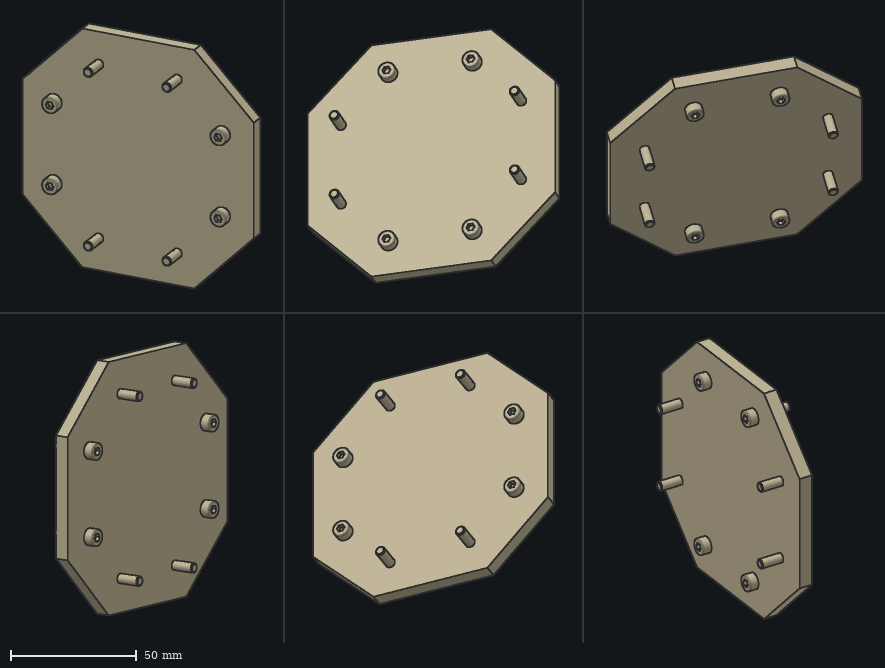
import cadquery as cq

plate_size = 103.0
plate_thickness = 6.0
straight_edge = 50.0
corner_cut = (plate_size - straight_edge) / 2

shank_diameter = 4.0
shank_protrusion = 10.0
shank_tip_chamfer = 0.4
head_diameter = 7.0
head_height = 4.0
head_edge_fillet = 0.4
socket_across_corners = 3.4
socket_depth = 2.0

pair_half_spacing = 17.5
pair_offset = 37.5


def make_plate():
    block = cq.Workplane("XY").box(plate_size, plate_thickness, plate_size)
    return block.edges("|Y").chamfer(corner_cut)


def make_screw():
    """Screw on the Y axis with its head on the -Y face of the plate."""
    head_seat = cq.Workplane("XZ", origin=(0, -plate_thickness / 2, 0))
    head = head_seat.circle(head_diameter / 2).extrude(head_height)
    head = head.faces("<Y").edges().fillet(head_edge_fillet)
    socket = (
        head_seat.workplane(offset=head_height - socket_depth)
        .polygon(6, socket_across_corners)
        .extrude(socket_depth)
    )
    shank = head_seat.circle(shank_diameter / 2).extrude(-(plate_thickness + shank_protrusion))
    shank = shank.faces(">Y").edges().chamfer(shank_tip_chamfer)
    return head.cut(socket).union(shank)


front_screw = make_screw()
back_screw = front_screw.rotate((0, 0, 0), (0, 0, 1), 180)

result = make_plate()
for side in (-1, 1):
    for half in (-1, 1):
        result = result.union(front_screw.translate((side * pair_offset, 0, half * pair_half_spacing)))
        result = result.union(back_screw.translate((half * pair_half_spacing, 0, side * pair_offset)))